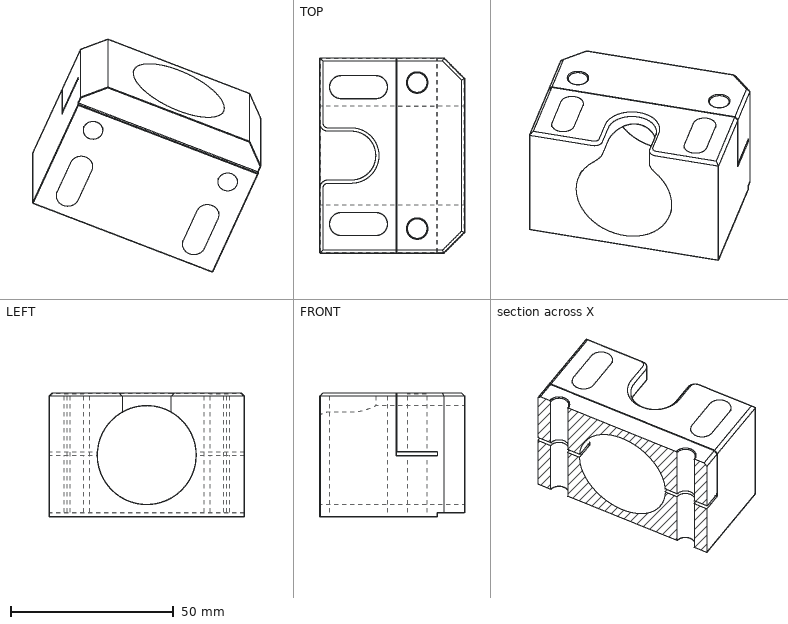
import cadquery as cq

LENGTH = 44.5
WIDTH = 60.0
HEIGHT = 38.1

BLOCK_LENGTH = 36.1
STEP_X = 23.52
STEP_Z = 18.9

SLOT_GAP = 1.1
CLAMP_BOTTOM_Z = 1.3
CORNER_CUT = 6.4

TOP_CHAMFER = 1.0
SMALL_CHAMFER = 0.2
JOINT_CHAMFER = 0.12

BORE_DIAMETER = 30.3
BORE_Z = HEIGHT / 2

NOTCH_WIDTH = 15.0
NOTCH_CENTER_X = 9.7
NOTCH_MOUTH_RADIUS = 2.5

SLOT_LENGTH = 17.7
SLOT_WIDTH = 7.0
SLOT_CENTER_X = 11.9
SLOT_SPACING = 42.0

SCREW_DIAMETER = 6.0
SCREW_CHAMFER = 0.3
SCREW_X = 29.9
SCREW_SPACING = 44.8


def mirrored_points(x, spacing):
    """Two points at the same X, spaced evenly about the middle plane."""
    return [(x, -spacing / 2), (x, spacing / 2)]


def extrude_side_profile(points):
    """Extrude an XZ outline over the full width, centred on Y = 0."""
    return cq.Workplane("XZ").polyline(points).close().extrude(WIDTH / 2, both=True)


def make_notch():
    """Vertical cutter: U-shaped slot with a flared, rounded mouth."""
    half_width = NOTCH_WIDTH / 2
    radius = NOTCH_MOUTH_RADIUS
    mouth_half_width = half_width + radius
    return (
        cq.Workplane("XY", origin=(0, 0, BORE_Z))
        .moveTo(0, -mouth_half_width)
        .radiusArc((radius, -half_width), radius)
        .lineTo(NOTCH_CENTER_X, -half_width)
        .threePointArc((NOTCH_CENTER_X + half_width, 0), (NOTCH_CENTER_X, half_width))
        .lineTo(radius, half_width)
        .radiusArc((0, mouth_half_width), radius)
        .close()
        .extrude(HEIGHT - BORE_Z)
    )


def make_block():
    """Stepped block with the notch and its broken edges."""
    block = extrude_side_profile([
        (0, 0),
        (BLOCK_LENGTH, 0),
        (BLOCK_LENGTH, STEP_Z),
        (STEP_X, STEP_Z),
        (STEP_X, HEIGHT),
        (0, HEIGHT),
    ])
    block = block.cut(make_notch())
    block = block.faces(">Z").edges("not >X").chamfer(TOP_CHAMFER)
    block = block.edges("<X and |Z").edges("<Y or >Y").chamfer(SMALL_CHAMFER)
    block = block.faces("<Z").edges().chamfer(SMALL_CHAMFER)
    step_wall = block.faces("+X").faces("<X")
    block = step_wall.edges("not <Z").chamfer(JOINT_CHAMFER)
    return block


def make_clamp():
    """L-shaped clamp with two cut corners at its free end."""
    lip_z = STEP_Z + SLOT_GAP
    clamp = extrude_side_profile([
        (STEP_X, HEIGHT),
        (STEP_X, lip_z),
        (BLOCK_LENGTH, lip_z),
        (BLOCK_LENGTH, CLAMP_BOTTOM_Z),
        (LENGTH, CLAMP_BOTTOM_Z),
        (LENGTH, HEIGHT),
    ])
    clamp = clamp.edges("|Z and >X").chamfer(CORNER_CUT)
    clamp = clamp.faces(">Z").edges("not <X").chamfer(TOP_CHAMFER)
    clamp = clamp.faces("<Z").edges("not <X").chamfer(SMALL_CHAMFER)
    clamp = clamp.faces("<X").edges("not <Z").chamfer(JOINT_CHAMFER)
    return clamp


def make_bore():
    """Horizontal bore cutter through block and clamp."""
    return cq.Workplane("YZ", origin=(0, 0, BORE_Z)).circle(BORE_DIAMETER / 2).extrude(LENGTH)


def make_mounting_slots():
    """Vertical slot cutters on both sides of the notch."""
    return (
        cq.Workplane("XY")
        .pushPoints(mirrored_points(SLOT_CENTER_X, SLOT_SPACING))
        .slot2D(SLOT_LENGTH, SLOT_WIDTH)
        .extrude(HEIGHT)
    )


def make_screw_hole(x, y):
    """Vertical hole cutter, countersunk at the top face."""
    radius = SCREW_DIAMETER / 2
    hole = cq.Workplane("XY").center(x, y).circle(radius).extrude(HEIGHT)
    countersink = cq.Solid.makeCone(
        radius,
        radius + SCREW_CHAMFER,
        SCREW_CHAMFER,
        pnt=cq.Vector(x, y, HEIGHT - SCREW_CHAMFER),
    )
    return hole.union(cq.Workplane(countersink))


def cut_openings(body):
    """Cut the bore, mounting slots and screw holes, leaving the joint lines on the outside."""
    body = body.cut(make_bore(), clean=False).cut(make_mounting_slots(), clean=False)
    for hole_x, hole_y in mirrored_points(SCREW_X, SCREW_SPACING):
        body = body.cut(make_screw_hole(hole_x, hole_y), clean=False)
    return body


joined = make_block().union(make_clamp(), clean=False)
result = cut_openings(joined)